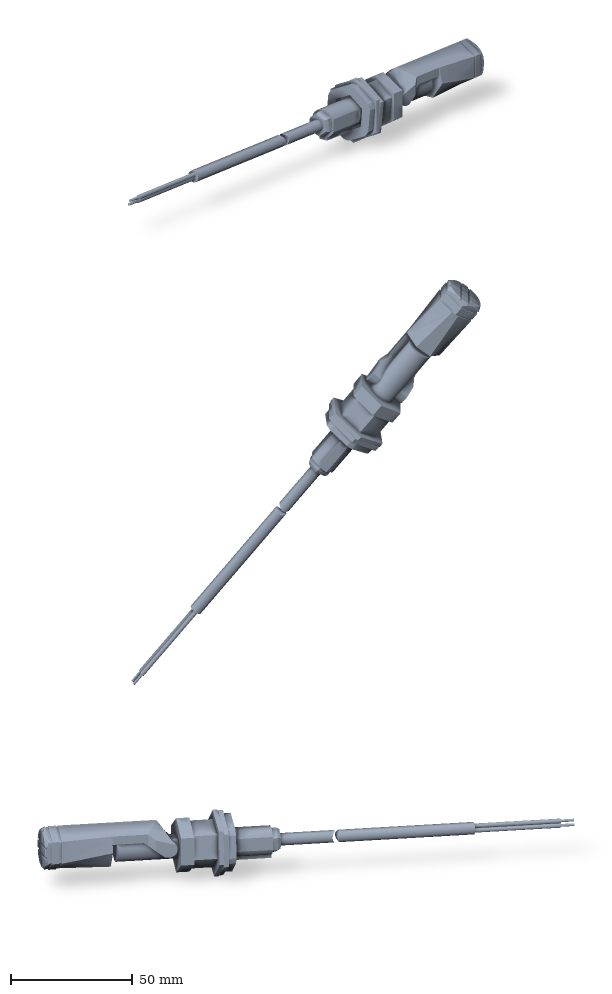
import cadquery as cq
import math


float_axis_z = 2.0
float_corner_radius = 9.5
float_neck_radius = 9.0
tip_y = 74.5
tip_radius = 7.9
tip_taper_end_y = 73.0
collar_front_y = 71.5
collar_rear_y = 68.5
shell_front_y = 67.5
shell_rear_y = 46.0
shell_bottom_z = -6.5
shell_rear_eave_x = 7.0
shell_rear_side_x = 8.5
shell_rear_side_z = 0.7
shell_front_foot_x = 1.5
shell_rear_foot_x = 3.5
pad_slot_offset = 2.0
pad_slot_width = 1.1
pad_slot_depth = 0.7

arm_half_width = shell_rear_eave_x
hinge_half_width = 8.8
pocket_end_y = 31.0
flare_end_y = 28.0
ridge_end_y = 26.0
hinge_slope_end_y = 20.7
pivot_y = 22.2
pivot_z = 1.0
pivot_radius = 2.0
hinge_lobe_radius = 3.4
facet_foot_x = 7.9

stem_radius = 5.4
stem_flat_z = 3.8
stem_front_y = 43.5
head_corner_width = 23.3
head_front_y = 17.7
head_rear_y = 12.1
barrel_radius = 6.0
barrel_half_width = 5.4
barrel_rear_y = -22.0
key_width = 4.0
key_bottom_z = -7.2
gland_corner_width = 11.0
gland_tilt = 8.0
gland_bevel_y = -24.2
gland_rear_y = -25.5
gland_end_corner_width = 9.5

seal_tilt = -5.8
seal_corner_width = 20.2
flange_corner_width = 28.0
flange_front_y = 2.0
washer_rear_y = -2.0
nut_flat_width = 22.2
nut_round_diameter = 24.2
nut_rear_y = -5.4
nut_opening_corner_width = 16.2

cable_diameter = 5.2
stub_rear_y = -49.0
cable_front_y = -51.0
break_radius = 3.4
cable_rear_y = -107.7
wire_radius = 0.95
wire_pair_lean = 20.0
insulation_rear_y = -144.3
conductor_radius = 0.55
conductor_rear_y = -150.0

cable_radius = cable_diameter / 2
ridge_z = float_axis_z + float_corner_radius
roof_slope = math.tan(math.radians(30))
eave_z = ridge_z - arm_half_width * roof_slope


def section(y):
    """Workplane across the axis at y, with local x = X and local y = Z; it extrudes toward -Y."""
    return cq.Workplane("XZ", origin=(0, y, 0))


def hex_points(corner_radius, tilt=0.0, center_z=0.0):
    """Corners of a hexagon with one corner at the top, turned by tilt degrees."""
    angles = [math.radians(90 + tilt + 60 * i) for i in range(6)]
    return [(corner_radius * math.cos(a), center_z + corner_radius * math.sin(a)) for a in angles]


def hex_prism(corner_radius, front_y, rear_y, tilt=0.0, center_z=0.0):
    points = hex_points(corner_radius, tilt, center_z)
    return section(front_y).polyline(points).close().extrude(front_y - rear_y)


def rod(radius, front_y, rear_y, center_x=0.0, center_z=0.0):
    return section(front_y).center(center_x, center_z).circle(radius).extrude(front_y - rear_y)


def side_prism(points, half_width):
    """Closed (Y, Z) outline extruded evenly to both sides of X = 0."""
    return cq.Workplane("YZ").polyline(points).close().extrude(half_width, both=True)


def mirrored_outline(right_half):
    """Closed outline from its right half, whose first point is the top point on X = 0."""
    left_half = [(-x, z) for x, z in right_half[1:]]
    return right_half + left_half[::-1]


def make_stem(front_y, rear_y):
    """Round stem with a flat along its top."""
    length = front_y - rear_y
    envelope = (
        section(front_y).center(0, stem_flat_z - 2 * stem_radius)
        .rect(4 * stem_radius, 4 * stem_radius).extrude(length)
    )
    return rod(stem_radius, front_y, rear_y).intersect(envelope)


def cross_pin(radius):
    """Cylinder along X on the pivot axis, as wide as the hinge."""
    return cq.Workplane("YZ").center(pivot_y, pivot_z).circle(radius).extrude(hinge_half_width, both=True)


def make_float_tip():
    """Tapered hexagonal nose with crossed slots, then a collar between two shallow grooves."""
    cone = (
        section(tip_y).center(0, float_axis_z).circle(tip_radius)
        .workplane(offset=tip_y - tip_taper_end_y).circle(float_corner_radius).loft()
    )
    nose = hex_prism(float_corner_radius, tip_y, tip_taper_end_y, center_z=float_axis_z).intersect(cone)
    neck = hex_prism(float_neck_radius, tip_taper_end_y, shell_front_y, center_z=float_axis_z)
    collar = hex_prism(float_corner_radius, collar_front_y, collar_rear_y, center_z=float_axis_z)
    tip = nose.union(neck).union(collar)
    slot_length = 2 * float_corner_radius
    for offset in (-pad_slot_offset, pad_slot_offset):
        upright = section(tip_y).center(offset, float_axis_z).rect(pad_slot_width, slot_length)
        level = section(tip_y).center(0, float_axis_z + offset).rect(slot_length, pad_slot_width)
        tip = tip.cut(upright.extrude(pad_slot_depth)).cut(level.extrude(pad_slot_depth))
    return tip


def make_float_shell():
    """Hexagon at the collar that widens at its sides toward the arm."""
    front_x = float_corner_radius * math.cos(math.radians(30))
    half_side = float_corner_radius / 2
    front = [
        (0, ridge_z),
        (front_x, float_axis_z + half_side),
        (front_x, float_axis_z - half_side),
        (shell_front_foot_x, shell_bottom_z),
    ]
    rear = [
        (0, ridge_z),
        (shell_rear_eave_x, eave_z),
        (shell_rear_side_x, shell_rear_side_z),
        (shell_rear_foot_x, shell_bottom_z),
    ]
    return (
        section(shell_front_y).polyline(mirrored_outline(front)).close()
        .workplane(offset=shell_front_y - shell_rear_y)
        .polyline(mirrored_outline(rear)).close().loft(ruled=True)
    )


def make_hinge_facet(side):
    """Block above the sloping facet that runs from the ridge end down to the hinge's outer edge."""
    ridge_end = cq.Vector(0, ridge_end_y, ridge_z)
    foot = cq.Vector(side * facet_foot_x, hinge_slope_end_y, stem_flat_z)
    eave_end = cq.Vector(side * arm_half_width, pocket_end_y, eave_z)
    along = foot - ridge_end
    normal = along.cross(eave_end - ridge_end)
    if normal.z < 0:
        normal = normal * -1
    block = 4 * hinge_half_width
    plane = cq.Plane(origin=ridge_end.toTuple(), xDir=along.toTuple(), normal=normal.toTuple())
    return cq.Workplane(plane).rect(block, block).extrude(block)


def make_float_arm():
    """Roofed arm above the stem, ending in a fork that turns on the pivot."""
    lobe_bottom_z = pivot_z - hinge_lobe_radius
    side = side_prism(
        [
            (shell_rear_y, stem_flat_z),
            (shell_rear_y, ridge_z),
            (ridge_end_y, ridge_z),
            (hinge_slope_end_y, stem_flat_z),
            (pivot_y, lobe_bottom_z),
            (pivot_y + hinge_lobe_radius / 2, lobe_bottom_z),
            (pocket_end_y + hinge_lobe_radius / 2, stem_flat_z),
        ],
        hinge_half_width,
    )
    lobe = cross_pin(hinge_lobe_radius)
    roof_drop = hinge_half_width * roof_slope
    roof = (
        section(shell_rear_y)
        .polyline(
            [
                (0, ridge_z),
                (hinge_half_width, ridge_z - roof_drop),
                (hinge_half_width, shell_bottom_z),
                (-hinge_half_width, shell_bottom_z),
                (-hinge_half_width, ridge_z - roof_drop),
            ]
        )
        .close()
        .extrude(shell_rear_y - head_front_y)
    )
    arm = side.union(lobe).intersect(roof)
    for sign in (-1, 1):
        pocket = (
            cq.Workplane("XY", origin=(0, 0, shell_bottom_z))
            .polyline(
                [
                    (sign * arm_half_width, shell_rear_y),
                    (sign * arm_half_width, pocket_end_y),
                    (sign * hinge_half_width, flare_end_y),
                    (sign * hinge_half_width, shell_rear_y),
                ]
            )
            .close()
            .extrude(ridge_z - shell_bottom_z)
        )
        arm = arm.cut(pocket).cut(make_hinge_facet(sign))
    return arm


def make_float():
    body = make_float_tip().union(make_float_shell()).union(make_float_arm())
    return body.cut(make_stem(stem_front_y, head_front_y)).cut(cross_pin(pivot_radius))


def make_gland():
    """Hexagonal cable gland that tapers at the rear."""
    corner_radius = gland_corner_width / 2
    straight = hex_prism(corner_radius, barrel_rear_y, gland_bevel_y, gland_tilt)
    taper = (
        section(gland_bevel_y).polyline(hex_points(corner_radius, gland_tilt)).close()
        .workplane(offset=gland_bevel_y - gland_rear_y)
        .polyline(hex_points(gland_end_corner_width / 2, gland_tilt)).close().loft(ruled=True)
    )
    return straight.union(taper)


def make_housing():
    """Stem with its pivot, hexagonal head, round core, keyed barrel with side flats, and gland."""
    stem = make_stem(stem_front_y, head_front_y).union(cross_pin(pivot_radius))
    head = hex_prism(head_corner_width / 2, head_front_y, head_rear_y)
    core = rod(barrel_radius, head_rear_y, nut_rear_y)
    barrel_length = nut_rear_y - barrel_rear_y
    flats = section(nut_rear_y).rect(2 * barrel_half_width, 2 * barrel_radius).extrude(barrel_length)
    barrel = rod(barrel_radius, nut_rear_y, barrel_rear_y).intersect(flats)
    key_outline = section(nut_rear_y).center(0, key_bottom_z / 2).rect(key_width, -key_bottom_z)
    key = key_outline.extrude(barrel_length)
    return stem.union(head).union(core).union(barrel).union(key).union(make_gland())


def make_seal():
    block = hex_prism(seal_corner_width / 2, head_rear_y, flange_front_y, seal_tilt)
    flange = hex_prism(flange_corner_width / 2, flange_front_y, 0, seal_tilt)
    return block.union(flange).cut(rod(barrel_radius, head_rear_y, 0))


def make_washer():
    plate = hex_prism(flange_corner_width / 2, 0, washer_rear_y)
    return plate.cut(rod(barrel_radius, 0, washer_rear_y))


def make_nut():
    """Hexagonal nut with its corners turned round and a hexagonal opening."""
    corner_radius = nut_flat_width / 2 / math.cos(math.radians(30))
    hexagon = hex_prism(corner_radius, washer_rear_y, nut_rear_y, seal_tilt)
    rounded = hexagon.intersect(rod(nut_round_diameter / 2, washer_rear_y, nut_rear_y))
    opening = hex_prism(nut_opening_corner_width / 2, washer_rear_y, nut_rear_y, seal_tilt)
    return rounded.cut(opening)


def make_break_cylinder(edge_y):
    """Cylinder along X whose front surface meets the top and bottom of the cable at edge_y."""
    center_y = edge_y - math.sqrt(break_radius**2 - cable_radius**2)
    return cq.Workplane("YZ").center(center_y, 0).circle(break_radius).extrude(2 * cable_radius, both=True)


def make_cable_stub():
    """Short cable behind the gland with a hollow curved end."""
    return rod(cable_radius, gland_rear_y, stub_rear_y).cut(make_break_cylinder(stub_rear_y))


def make_cable():
    """Long cable with a front end that bulges along the same curve."""
    break_cylinder = make_break_cylinder(cable_front_y)
    nose_length = 2 * (break_radius - math.sqrt(break_radius**2 - cable_radius**2))
    around_nose = section(cable_front_y + nose_length).rect(4 * cable_radius, 4 * cable_radius)
    waste = around_nose.extrude(nose_length).cut(break_cylinder)
    return rod(cable_radius, cable_front_y + nose_length, cable_rear_y).cut(waste)


def make_wire(side):
    """Insulated wire with its bare conductor; the wires touch on the axis, the upper one leaning to +X."""
    lean = math.radians(wire_pair_lean)
    center_x = side * wire_radius * math.sin(lean)
    center_z = side * wire_radius * math.cos(lean)
    insulation = rod(wire_radius, cable_rear_y, insulation_rear_y, center_x, center_z)
    conductor = rod(conductor_radius, insulation_rear_y, conductor_rear_y, center_x, center_z)
    return insulation.union(conductor)


float_body = make_float()
housing = make_housing()
seal = make_seal()
washer = make_washer()
nut = make_nut()
cable_stub = make_cable_stub()
cable = make_cable()
wires = [make_wire(side) for side in (-1, 1)]

result = cq.Compound.makeCompound(
    [
        float_body.val(),
        housing.val(),
        seal.val(),
        washer.val(),
        nut.val(),
        cable_stub.val(),
        cable.val(),
        *[wire.val() for wire in wires],
    ]
)